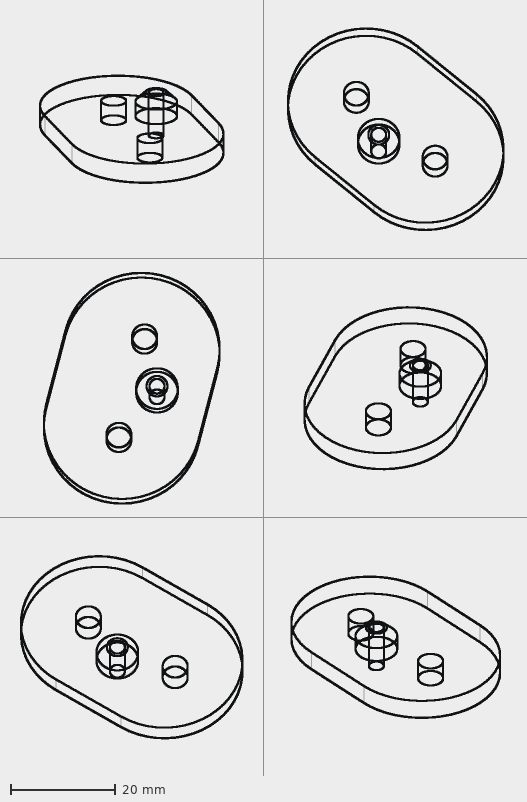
import cadquery as cq

plate_length = 45.0
plate_width = 30.0
plate_thickness = 4.0

mount_hole_diameter = 4.8
mount_hole_spacing = 20.0

total_height = 9.0
boss_offset = 5.0
boss_diameter = 8.0
boss_tip_diameter = 4.0
taper_height = 2.0
bore_diameter = 2.9

boss_height = total_height - plate_thickness
taper_width = (boss_diameter - boss_tip_diameter) / 2


def make_plate():
    return (
        cq.Workplane("XY")
        .slot2D(plate_length, plate_width)
        .extrude(plate_thickness)
        .faces(">Z")
        .workplane()
        .rarray(mount_hole_spacing, 0.45, 2, 1)
        .hole(mount_hole_diameter)
    )


def make_boss():
    return (
        cq.Workplane("XY", origin=(0, boss_offset, plate_thickness))
        .circle(boss_diameter / 2)
        .extrude(boss_height)
        .faces(">Z")
        .chamfer(taper_height, taper_width)
    )


def make_bore():
    return (
        cq.Workplane("XY", origin=(0, boss_offset, 0))
        .circle(bore_diameter / 2)
        .extrude(total_height)
    )


result = make_plate().union(make_boss()).cut(make_bore())